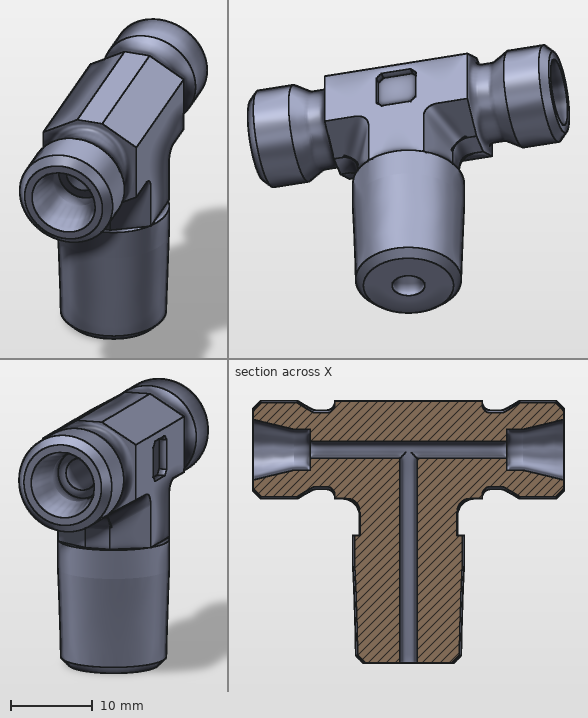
import cadquery as cq
import math


across_flats = 12.0
half_flats = across_flats / 2
hex_half_angle = math.radians(30)
side_half = half_flats * math.tan(hex_half_angle)
hex_corner = half_flats / math.cos(hex_half_angle)
flat_half = (hex_corner - half_flats) / math.tan(hex_half_angle)
body_length = 18.0
junction_radius = 2.0

run_length = 38.0
end_radius = 12.0 / 2
end_chamfer = 1.0
thread_length = 5.45
neck_radius = 9.7 / 2
neck_cone_angle = 30.0
neck_blend_radius = 1.0
shoulder_radius = 1.0

through_diameter = 4.0
socket_radius = 6.0 / 2
mouth_radius = 4.05
seat_angle = 12.0
socket_depth = 7.0

total_height = 32.07
branch_bottom = half_flats - total_height
collar_radius = 13.65 / 2
collar_top = -10.45
collar_bottom = -14.02
branch_tip_radius = 6.45
branch_chamfer = 0.95

panel_size = 4.98
panel_corner = 0.65
panel_depth = 1.0


def truncated_hexagon(plane):
    """Hexagon with flats at +-X and its two remaining corners cut flat."""
    points = [
        (half_flats, side_half),
        (flat_half, half_flats),
        (-flat_half, half_flats),
        (-half_flats, side_half),
        (-half_flats, -side_half),
        (-flat_half, -half_flats),
        (flat_half, -half_flats),
        (half_flats, -side_half),
    ]
    return cq.Workplane(plane).polyline(points).close()


def make_body():
    run = truncated_hexagon("XZ").extrude(body_length / 2, both=True)
    stem = truncated_hexagon("XY").extrude(collar_top)
    body = run.union(stem)
    margin = 0.05
    corner_zone = cq.selectors.BoxSelector(
        (-half_flats, -half_flats - margin, -half_flats - margin),
        (half_flats, half_flats + margin, -side_half - margin),
    )
    corners = [
        edge
        for edge in body.edges(corner_zone).vals()
        if abs(abs(edge.Center().y) + edge.Center().z) < margin
    ]
    return body.newObject(corners).fillet(junction_radius)


def make_run_end():
    """Threaded end with its neck, on the +Y side."""
    tip = run_length / 2
    body_end = body_length / 2
    cone_start = tip - thread_length
    cone_angle = math.radians(neck_cone_angle)
    cone_length = (end_radius - neck_radius) / math.tan(cone_angle)
    cone_end = cone_start - cone_length
    blend_reach = neck_blend_radius * math.tan(cone_angle / 2)
    blend_start = (
        neck_radius + blend_reach * math.sin(cone_angle),
        cone_end + blend_reach * math.cos(cone_angle),
    )
    blend_stop = (neck_radius, cone_end - blend_reach)
    blend_mid = (
        neck_radius + neck_blend_radius * (1 - math.cos(cone_angle / 2)),
        blend_stop[1] + neck_blend_radius * math.sin(cone_angle / 2),
    )
    shoulder_inset = shoulder_radius * (1 - math.cos(math.radians(45)))
    return (
        cq.Workplane("XY")
        .moveTo(0, tip)
        .lineTo(end_radius - end_chamfer, tip)
        .lineTo(end_radius, tip - end_chamfer)
        .lineTo(end_radius, cone_start)
        .lineTo(*blend_start)
        .threePointArc(blend_mid, blend_stop)
        .lineTo(neck_radius, body_end + shoulder_radius)
        .threePointArc(
            (neck_radius + shoulder_inset, body_end + shoulder_inset),
            (neck_radius + shoulder_radius, body_end),
        )
        .lineTo(0, body_end)
        .close()
        .revolve(360, (0, 0, 0), (0, 1, 0))
    )


def make_branch():
    profile = [
        (0, collar_top),
        (collar_radius, collar_top),
        (collar_radius, collar_bottom),
        (branch_tip_radius, branch_bottom + branch_chamfer),
        (branch_tip_radius - branch_chamfer, branch_bottom),
        (0, branch_bottom),
    ]
    return cq.Workplane("XZ").polyline(profile).close().revolve(360, (0, 0, 0), (0, 1, 0))


def make_socket():
    """Conical seat narrowing to a straight tube socket, on the +Y side."""
    tip = run_length / 2
    seat_depth = (mouth_radius - socket_radius) / math.tan(math.radians(seat_angle))
    profile = [
        (0, tip),
        (mouth_radius, tip),
        (socket_radius, tip - seat_depth),
        (socket_radius, tip - socket_depth),
        (0, tip - socket_depth),
    ]
    return cq.Workplane("XY").polyline(profile).close().revolve(360, (0, 0, 0), (0, 1, 0))


def make_panel():
    return (
        cq.Workplane("XY")
        .box(panel_depth, panel_size, panel_size, centered=(False, True, True))
        .edges("|X")
        .chamfer(panel_corner)
        .translate((-half_flats, 0, 0))
    )


run_end = make_run_end()
socket = make_socket()
run_bore = cq.Workplane("XZ").circle(through_diameter / 2).extrude(run_length / 2, both=True)
branch_bore = cq.Workplane("XY").circle(through_diameter / 2).extrude(branch_bottom)

result = make_body().union(make_branch())
for end in (run_end, run_end.mirror("XZ")):
    result = result.union(end)
for bore in (socket, socket.mirror("XZ"), run_bore, branch_bore, make_panel()):
    result = result.cut(bore)